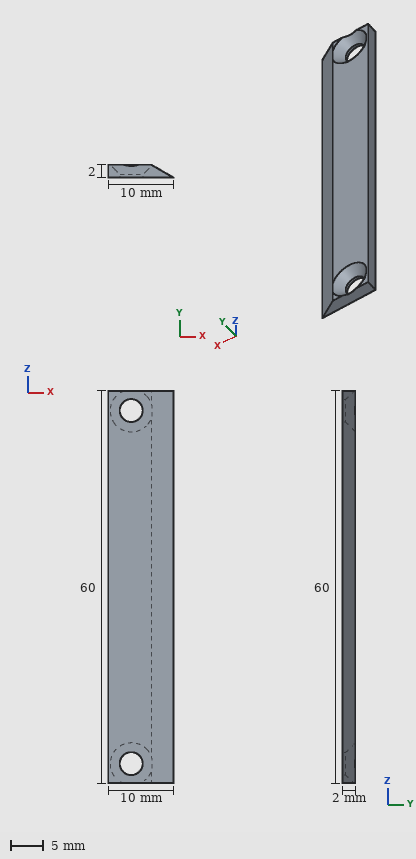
import cadquery as cq

width = 10.0
thickness = 2.0
length = 60.0
flat_width = 6.6

hole_diameter = 3.5
sink_diameter = 6.5
sink_angle = 90.0
hole_from_side = 3.55
hole_from_end = 3.0


def beveled_strip():
    """Strip whose +X side is bevelled to a sharp edge at the front face."""
    profile = [(0, 0), (width, 0), (flat_width, thickness), (0, thickness)]
    return cq.Workplane("XY").polyline(profile).close().extrude(length)


def drill_countersunk_holes(strip):
    """One through hole near each end; the wide sinks break out of the ends."""
    back_plane = cq.Plane(origin=(0, thickness, 0), xDir=(1, 0, 0), normal=(0, 1, 0))
    centers = [(hole_from_side, -z) for z in (hole_from_end, length - hole_from_end)]
    return (
        strip.copyWorkplane(cq.Workplane(back_plane))
        .pushPoints(centers)
        .cskHole(hole_diameter, sink_diameter, sink_angle)
    )


result = drill_countersunk_holes(beveled_strip())